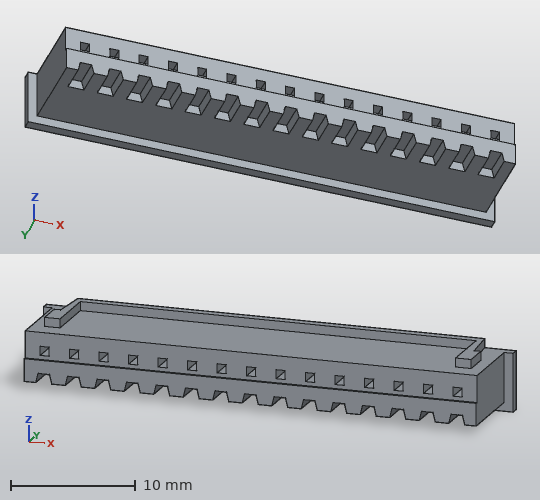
import cadquery as cq

length = 39.8
depth = 7.75
height = 5.7

flange_thickness = 0.8
flange_overhang = 0.75
body_length = length - 2 * flange_overhang
body_bottom = 0.75
body_top = 4.95
step_height = 2.65
step_depth = 0.25

rail_reach = 5.85
rail_back_thickness = 0.8
rail_inner_half = length / 2 - 3.15
rail_root_half = length / 2 - 2.65
rail_neck_half = length / 2 - 2.4
rail_hook_half = length / 2 - 1.85
hook_start = 3.45

contact_count = 15
contact_row_length = 35.0
contact_pitch = contact_row_length / (contact_count - 1)
hole_size = 0.75
hole_center_height = 3.4
hole_depth = 2.4
slot_top_width = 0.95
slot_bottom_width = 1.35
slot_roof_height = 1.55
slot_depth = 2.4


def make_flange():
    """Plate behind the body that overhangs it at both ends and below."""
    return (
        cq.Workplane("XY")
        .box(length, flange_thickness, body_top, centered=(True, False, False))
        .translate((0, depth - flange_thickness, 0))
    )


def make_body():
    """Housing block whose front face is set back above the step."""
    profile = [
        (0, body_bottom),
        (depth, body_bottom),
        (depth, body_top),
        (step_depth, body_top),
        (step_depth, step_height),
        (0, step_height),
    ]
    return cq.Workplane("YZ").polyline(profile).close().extrude(body_length / 2, both=True)


def make_rail():
    """U-shaped rail with slightly flared arms ending in outward hooks."""
    tip = depth - rail_reach
    hook_shoulder = depth - hook_start
    inner_back = depth - rail_back_thickness
    right_side = [
        (rail_inner_half, inner_back),
        (rail_inner_half, tip),
        (rail_hook_half, tip),
        (rail_hook_half, hook_shoulder),
        (rail_neck_half, hook_shoulder),
        (rail_root_half, depth),
    ]
    left_side = [(-x, y) for x, y in reversed(right_side)]
    return (
        cq.Workplane("XY", origin=(0, 0, body_top))
        .polyline(right_side + left_side)
        .close()
        .extrude(height - body_top)
    )


def cut_contacts(part):
    """Cut a row of blind square holes above the step and blind tapered slots open at the bottom."""
    contact_xs = [i * contact_pitch - contact_row_length / 2 for i in range(contact_count)]
    holes = (
        cq.Workplane("XZ", origin=(0, step_depth, hole_center_height))
        .pushPoints([(x, 0) for x in contact_xs])
        .rect(hole_size, hole_size)
        .extrude(-hole_depth)
    )
    part = part.cut(holes)
    slot_profile = [
        (-slot_bottom_width / 2, body_bottom),
        (slot_bottom_width / 2, body_bottom),
        (slot_top_width / 2, slot_roof_height),
        (-slot_top_width / 2, slot_roof_height),
    ]
    slot = cq.Workplane("XZ").polyline(slot_profile).close().extrude(-slot_depth)
    for x in contact_xs:
        part = part.cut(slot.translate((x, 0, 0)))
    return part


housing = make_flange().union(make_body()).union(make_rail())
result = cut_contacts(housing)